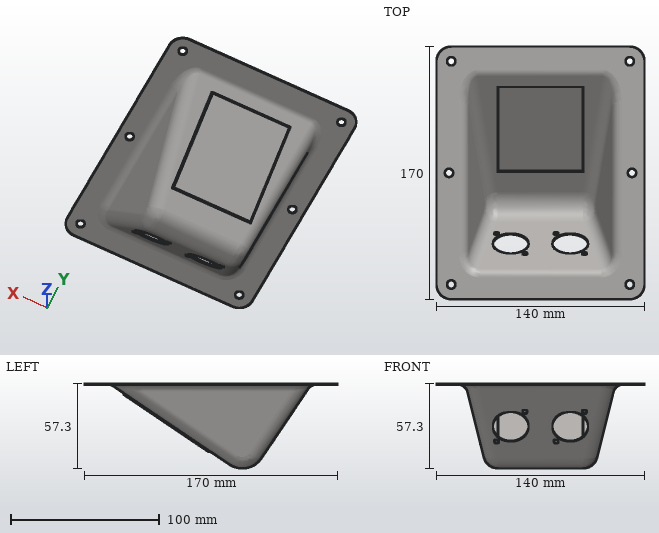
import cadquery as cq
import math

FLANGE_X = 140.0
FLANGE_Y = 170.0
FLANGE_CORNER_RADIUS = 10.0
SHEET = 1.0

DISH_HALF_WIDTH = 49.6
DISH_BACK_Y = 66.8
DISH_FRONT_Y = -66.7
BACK_SLOPE = 34.0
FRONT_SLOPE = 90.0 - BACK_SLOPE
SIDE_DRAFT = 14.0
RIDGE_RADIUS = 14.4
CORNER_RADIUS = 9.0
MOUTH_RADIUS = 6.0

MOUNT_HOLE_DIAMETER = 5.5
MOUNT_CORNER_X = 60.0
MOUNT_CORNER_Y = 75.0
MOUNT_SIDE_X = 61.5

CONNECTOR_DIAMETER = 24.0
CONNECTOR_SPACING = 40.0
CONNECTOR_DISTANCE = 34.6
SCREW_DIAMETER = 3.2
SCREW_OFFSET_X = 9.5
SCREW_OFFSET_SLOPE = 12.0

LABEL_WIDTH = 58.0
LABEL_LENGTH = 69.2
LABEL_DISTANCE = 10.8
LABEL_DEPTH = 0.8
LABEL_EDGE_SLOPE = 45.0
LABEL_PAD_MARGIN = 0.7

back_angle = math.radians(BACK_SLOPE)
front_angle = math.radians(FRONT_SLOPE)
draft_angle = math.radians(SIDE_DRAFT)


def dish_body(offset):
    """Rounded dish volume, its walls moved outward by offset from the inner faces."""
    back_y = DISH_BACK_Y + offset / math.sin(back_angle)
    front_y = DISH_FRONT_Y - offset / math.sin(front_angle)
    half_width = DISH_HALF_WIDTH + offset / math.cos(draft_angle)
    front_length = (back_y - front_y) * math.cos(front_angle)
    apex_y = front_y + front_length * math.cos(front_angle)
    apex_z = -front_length * math.sin(front_angle)
    apex_half_width = half_width + apex_z * math.tan(draft_angle)

    wedge = (
        cq.Workplane("YZ")
        .polyline([(front_y, 0), (back_y, 0), (apex_y, apex_z)])
        .close()
        .extrude(half_width, both=True)
    )
    tapered_sides = (
        cq.Workplane("XZ")
        .polyline([
            (-half_width, 0),
            (half_width, 0),
            (apex_half_width, apex_z),
            (-apex_half_width, apex_z),
        ])
        .close()
        .extrude(FLANGE_Y, both=True)
    )
    wedge = wedge.intersect(tapered_sides)
    ridge = cq.selectors.NearestToPointSelector((0, apex_y, apex_z))
    wedge = wedge.edges(ridge).fillet(RIDGE_RADIUS + offset)
    return wedge.faces("<X or >X").edges("not |Y").fillet(CORNER_RADIUS + offset)


def flange():
    plate = cq.Workplane("XY").box(FLANGE_X, FLANGE_Y, SHEET, centered=(True, True, False))
    return plate.translate((0, 0, -SHEET)).edges("|Z").fillet(FLANGE_CORNER_RADIUS)


def mouth_edges(body, z):
    """Dish outline edges lying in the plane at height z."""
    reach_x = FLANGE_X / 2 - FLANGE_CORNER_RADIUS
    reach_y = FLANGE_Y / 2 - FLANGE_CORNER_RADIUS
    tolerance = SHEET / 4
    reach = cq.selectors.BoxSelector(
        (-reach_x, -reach_y, z - tolerance),
        (reach_x, reach_y, z + tolerance),
    )
    return body.edges(reach)


def formed_sheet():
    outside = flange().union(dish_body(SHEET))
    outside = mouth_edges(outside, -SHEET).fillet(MOUTH_RADIUS)
    shell = outside.cut(dish_body(0))
    return mouth_edges(shell, 0).fillet(MOUTH_RADIUS + SHEET)


def mount_holes():
    points = [(side * MOUNT_SIDE_X, 0) for side in (-1, 1)]
    points += [(i * MOUNT_CORNER_X, j * MOUNT_CORNER_Y) for i in (-1, 1) for j in (-1, 1)]
    return cq.Workplane("XY").pushPoints(points).circle(MOUNT_HOLE_DIAMETER / 2).extrude(-SHEET)


def connector_holes():
    """Cutters square to the connector wall; local Y runs down the slope."""
    wall = cq.Workplane(cq.Plane(
        origin=(0, DISH_FRONT_Y, 0),
        xDir=(1, 0, 0),
        normal=(0, math.sin(front_angle), math.cos(front_angle)),
    ))
    centres = [(side * CONNECTOR_SPACING / 2, CONNECTOR_DISTANCE) for side in (-1, 1)]
    screws = [
        (x + side * SCREW_OFFSET_X, y - side * SCREW_OFFSET_SLOPE)
        for x, y in centres
        for side in (-1, 1)
    ]
    cut_reach = 2 * SHEET
    openings = wall.pushPoints(centres).circle(CONNECTOR_DIAMETER / 2).extrude(cut_reach, both=True)
    screw_holes = wall.pushPoints(screws).circle(SCREW_DIAMETER / 2).extrude(cut_reach, both=True)
    return openings.union(screw_holes)


def label_frustum(margin, depth_start):
    """Rectangular frustum pressed into the long wall, narrowing outward at the edge slope.

    It starts depth_start outside the inner face, larger than the label by margin all round.
    """
    wall = cq.Workplane(cq.Plane(
        origin=(0, DISH_BACK_Y, 0),
        xDir=(1, 0, 0),
        normal=(0, math.sin(back_angle), -math.cos(back_angle)),
    ))
    return (
        wall.workplane(offset=depth_start)
        .center(0, LABEL_DISTANCE + LABEL_LENGTH / 2)
        .rect(LABEL_WIDTH + 2 * margin, LABEL_LENGTH + 2 * margin)
        .extrude(LABEL_DEPTH, taper=LABEL_EDGE_SLOPE)
    )


label_recess = label_frustum(0, 0)
label_pad = label_frustum(LABEL_PAD_MARGIN, SHEET)

result = (
    formed_sheet()
    .union(label_pad)
    .cut(label_recess)
    .cut(connector_holes())
    .cut(mount_holes())
)